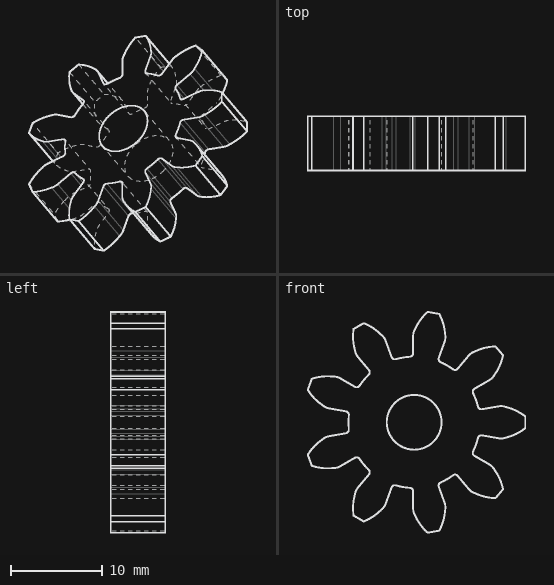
import cadquery as cq
import math

tooth_count = 9
tip_corner_radius = 12.23
root_radius = 7.23
face_width = 6.0
bore_diameter = 6.0
root_fillet = 0.36

tip_half_width = 0.65
crown_distance = 11.16
crown_half_width = 1.3
pitch_distance = 10.07
pitch_half_width = 1.7
shoulder_distance = 9.3
shoulder_half_width = 1.77
tip_distance = math.sqrt(tip_corner_radius**2 - tip_half_width**2)

flank_angle = 10
base_distance = 6.07
flank_run = shoulder_distance - base_distance
base_half_width = shoulder_half_width - flank_run * math.tan(math.radians(flank_angle))

foot_reach = root_radius + 0.25


def make_tooth(angle):
    """One flat-tipped tooth centred on the given angle, measured from +X toward +Z."""
    tooth = (
        cq.Workplane("XZ")
        .moveTo(base_distance, 0)
        .lineTo(base_distance, base_half_width)
        .lineTo(shoulder_distance, shoulder_half_width)
        .tangentArcPoint((pitch_distance, pitch_half_width), relative=False)
        .threePointArc((crown_distance, crown_half_width), (tip_distance, tip_half_width))
        .lineTo(tip_distance, 0)
        .mirrorX()
        .extrude(face_width / 2, both=True)
    )
    return tooth.rotate((0, 0, 0), (0, -1, 0), angle)


gear = cq.Workplane("XZ").circle(root_radius).extrude(face_width / 2, both=True)
for index in range(tooth_count):
    gear = gear.union(make_tooth(index * 360 / tooth_count))

foot_selector = cq.selectors.BoxSelector(
    (-foot_reach, -face_width, -foot_reach),
    (foot_reach, face_width, foot_reach),
)
gear = gear.edges("|Y").edges(foot_selector).fillet(root_fillet)

bore = cq.Workplane("XZ").circle(bore_diameter / 2).extrude(face_width / 2, both=True)
result = gear.cut(bore)